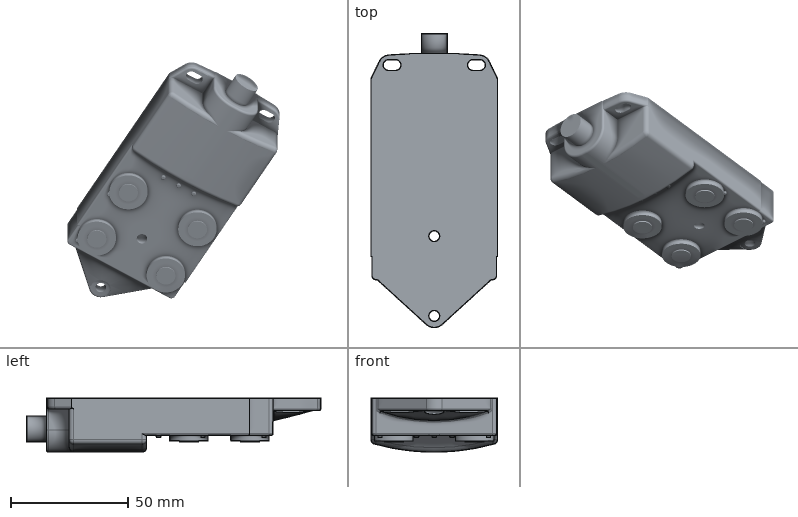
import cadquery as cq
import math


body_half_width = 27.0
shoulder_half_width = 26.6
shoulder_rear_y = 30.3
body_front_y = 20.4
body_rear_y = 107.3
body_depth = 15.9
body_corner_radius = 1.75
body_bottom_round = 0.7

block_front_y = 74.3
block_side_depth = 19.2
block_centre_depth = 23.11
block_round = 1.9

flange_thickness = 4.7
flange_chamfer_y = 106.3
flange_corner_x = 22.2
flange_corner_y = 116.1
flange_corner_radius = 5.0
flange_edge_round = 0.8
slot_centre_x = 18.0
slot_centre_y = 112.0
slot_length = 7.5

rear_end_y = 117.0
neck_half_width = 11.0
neck_bottom_radius = 9.5
neck_end_round = 0.9
connector_diameter = 11.1
connector_depth = 13.15
connector_end_y = 125.42

nose_thickness = 5.4
nose_tip_radius = 5.0
nose_base_half_width = 24.3
nose_edge_round = 0.8
nose_root_radius = 1.0
gusset_half_width = 24.5
gusset_edge_depth = 5.2
gusset_wall_depth = 9.75
gusset_slope = 0.25
gusset_root_radius = 0.7
spotface_diameter = 8.4

hole_diameter = 4.5
nose_hole_y = nose_tip_radius
hole_pitch = 34.0

pad_diameter = 16.4
pad_height = 2.4
pad_x = 17.2
pad_ys = (30.2, 56.25)
pad_crown_diameter = 8.2
pad_crown_height = 0.55
bump_diameter = 2.0
bump_height = 1.0
bump_round = 0.5
pad_bump_offset = 5.9
bump_row_y = 69.2
bump_row_pitch = 7.6

select_margin = 0.1

block_overlap = 2 * block_round


def box_between(x_half, y_front, y_rear, depth):
    """Block centred on X = 0, hanging down from the top face."""
    length = y_rear - y_front
    return cq.Workplane("XY").box(2 * x_half, length, depth, centered=(True, False, False)).translate(
        (0, y_front, -depth)
    )


def downward_cylinder(x, y, diameter, top_depth, bottom_depth):
    """Vertical cylinder between two depths below the top face."""
    return (
        cq.Workplane("XY", origin=(x, y, -bottom_depth))
        .circle(diameter / 2)
        .extrude(bottom_depth - top_depth)
    )


def make_body():
    front = box_between(shoulder_half_width, body_front_y, shoulder_rear_y, body_depth)
    front = front.edges("|Z and <Y").fillet(body_corner_radius)
    rear = box_between(body_half_width, shoulder_rear_y, block_front_y + block_overlap, body_depth)
    return front.union(rear).faces("<Z").edges().fillet(body_bottom_round)


def make_rear_block():
    outline = (
        cq.Workplane("XZ", origin=(0, body_rear_y, 0))
        .moveTo(-body_half_width, 0)
        .lineTo(-body_half_width, -block_side_depth)
        .threePointArc((0, -block_centre_depth), (body_half_width, -block_side_depth))
        .lineTo(body_half_width, 0)
        .close()
    )
    block = outline.extrude(body_rear_y - block_front_y)
    block = block.edges("|Z").fillet(block_round)
    return block.faces("<Z").edges().fillet(block_round)


def make_rear_flange():
    flange = (
        cq.Workplane("XY", origin=(0, 0, -flange_thickness))
        .moveTo(-body_half_width, block_front_y)
        .lineTo(-body_half_width, flange_chamfer_y)
        .lineTo(-flange_corner_x, flange_corner_y)
        .threePointArc((0, rear_end_y), (flange_corner_x, flange_corner_y))
        .lineTo(body_half_width, flange_chamfer_y)
        .lineTo(body_half_width, block_front_y)
        .close()
        .extrude(flange_thickness)
    )
    corners = cq.selectors.BoxSelector(
        (-body_half_width, flange_corner_y - select_margin, -flange_thickness),
        (body_half_width, rear_end_y, 0),
    )
    flange = flange.edges("|Z").edges(corners).fillet(flange_corner_radius)
    return flange.faces("<Z").edges("not <Y").edges("not |Y").fillet(flange_edge_round)


def make_neck():
    neck = box_between(neck_half_width, block_front_y + block_overlap, rear_end_y, block_centre_depth)
    neck = neck.edges("|Y and <Z").fillet(neck_bottom_radius)
    return neck.faces(">Y").edges("not >Z").fillet(neck_end_round)


def make_connector():
    length = connector_end_y - body_rear_y
    return (
        cq.Workplane("XZ", origin=(0, connector_end_y, -connector_depth))
        .circle(connector_diameter / 2)
        .extrude(length)
    )


def nose_prism(depth, inset=0.0):
    """Straight flanks tangent to a round tip, reaching into the body, shrunk inwards by the inset."""
    tip_radius = nose_tip_radius - inset
    flank_rise = body_front_y - nose_tip_radius
    reach = math.hypot(nose_base_half_width, flank_rise)
    tangent_angle = math.atan2(flank_rise, nose_base_half_width) - math.acos(nose_tip_radius / reach)
    tangent_x = tip_radius * math.cos(tangent_angle)
    tangent_y = nose_tip_radius + tip_radius * math.sin(tangent_angle)
    base_half_width = nose_base_half_width - inset / math.cos(tangent_angle)
    return (
        cq.Workplane("XY", origin=(0, 0, -depth))
        .moveTo(-base_half_width, shoulder_rear_y)
        .lineTo(-base_half_width, body_front_y)
        .lineTo(-tangent_x, tangent_y)
        .threePointArc((0, inset), (tangent_x, tangent_y))
        .lineTo(base_half_width, body_front_y)
        .lineTo(base_half_width, shoulder_rear_y)
        .close()
        .extrude(depth)
    )


def make_nose_plate():
    return nose_prism(nose_thickness).faces("<Z").edges("not >Y").edges("not |Y").fillet(nose_edge_round)


def make_front_body_with_nose():
    front = make_body().union(make_nose_plate())
    nose_roots = cq.selectors.BoxSelector(
        (-body_half_width, body_front_y - select_margin, -nose_thickness),
        (body_half_width, body_front_y + select_margin, 0),
    )
    return front.edges("|Z").edges(nose_roots).fillet(nose_root_radius)


def make_gusset():
    """Crowned wedge under the nose, rounded into the body wall and cleared around the nose screw."""
    wall_section = (
        cq.Workplane("XZ", origin=(0, body_front_y, 0))
        .moveTo(-gusset_half_width, 0)
        .lineTo(-gusset_half_width, -gusset_edge_depth)
        .threePointArc((0, -gusset_wall_depth), (gusset_half_width, -gusset_edge_depth))
        .lineTo(gusset_half_width, 0)
        .close()
    )
    sweep_path = cq.Workplane("YZ").moveTo(body_front_y, 0).lineTo(0, gusset_slope * body_front_y)
    wedge = wall_section.sweep(sweep_path)
    wall = box_between(gusset_half_width, body_front_y, shoulder_rear_y, body_depth - body_bottom_round)
    root = cq.selectors.BoxSelector(
        (-select_margin, body_front_y - select_margin, -gusset_wall_depth - select_margin),
        (select_margin, body_front_y + select_margin, -nose_thickness),
    )
    gusset = wall.union(wedge).edges(root).fillet(gusset_root_radius)
    gusset = gusset.intersect(nose_prism(body_depth, nose_edge_round))
    spotface = downward_cylinder(0, nose_hole_y, spotface_diameter, nose_thickness, gusset_wall_depth)
    return gusset.cut(spotface)


def make_pad(x, y):
    side = math.copysign(1, x)
    pad_bottom = body_depth + pad_height
    pad = downward_cylinder(x, y, pad_diameter, body_depth - body_bottom_round, pad_bottom)
    crown = downward_cylinder(x, y, pad_crown_diameter, pad_bottom, pad_bottom + pad_crown_height)
    bump = make_bump(x + side * pad_bump_offset, y - pad_bump_offset)
    return pad.union(crown).union(bump)


def make_bump(x, y):
    bump = downward_cylinder(x, y, bump_diameter, body_depth - body_bottom_round, body_depth + bump_height)
    return bump.faces("<Z").edges().fillet(bump_round)


def cut_mounting_holes(part):
    for hole_y in (nose_hole_y, nose_hole_y + hole_pitch):
        part = part.cut(downward_cylinder(0, hole_y, hole_diameter, 0, block_centre_depth))
    slots = (
        cq.Workplane("XY")
        .pushPoints([(-slot_centre_x, slot_centre_y), (slot_centre_x, slot_centre_y)])
        .slot2D(slot_length, hole_diameter)
        .extrude(-block_centre_depth)
    )
    return part.cut(slots)


part = make_front_body_with_nose().union(make_gusset())
for section in (make_rear_block(), make_rear_flange(), make_neck(), make_connector()):
    part = part.union(section)

for pad_y in pad_ys:
    for pad_side_x in (-pad_x, pad_x):
        part = part.union(make_pad(pad_side_x, pad_y))
for bump_x in (-bump_row_pitch, 0, bump_row_pitch):
    part = part.union(make_bump(bump_x, bump_row_y))

result = cut_mounting_holes(part)